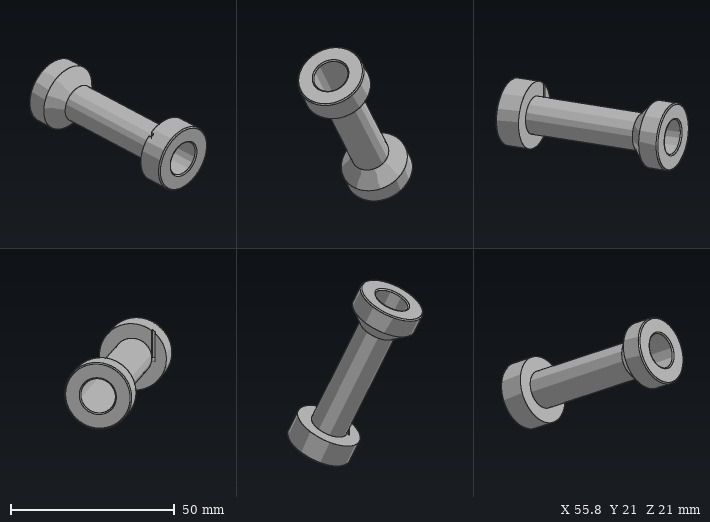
import cadquery as cq

total_length = 55.8
head_diameter = 21.0
shank_diameter = 11.8
bore_diameter = 10.8
rim_chamfer = 0.4
bore_chamfer = 0.4
cone_head_rim_length = 6.4
plain_head_length = 8.0

groove_width = 1.0
groove_depth = 1.0
groove_end_z = -1.0

head_radius = head_diameter / 2
shank_radius = shank_diameter / 2
bore_radius = bore_diameter / 2
cone_length = head_radius - shank_radius
cone_end_x = cone_head_rim_length + cone_length
plain_head_x = total_length - plain_head_length


def turned_body():
    """Hollow spool: coned head, shank and plain head, chamfered at both ends."""
    profile = [
        (0, bore_radius + bore_chamfer),
        (0, head_radius - rim_chamfer),
        (rim_chamfer, head_radius),
        (cone_head_rim_length, head_radius),
        (cone_end_x, shank_radius),
        (plain_head_x, shank_radius),
        (plain_head_x, head_radius),
        (total_length - rim_chamfer, head_radius),
        (total_length, head_radius - rim_chamfer),
        (total_length, bore_radius + bore_chamfer),
        (total_length - bore_chamfer, bore_radius),
        (bore_chamfer, bore_radius),
    ]
    return cq.Workplane("XY").polyline(profile).close().revolve(360, (0, 0, 0), (1, 0, 0))


def tangential_groove():
    """Straight groove beside the shank, open at the rim, its floor rounding up into the head face."""
    floor_x = plain_head_x + groove_depth
    return (
        cq.Workplane("XZ", origin=(0, -shank_radius, 0))
        .moveTo(plain_head_x, groove_end_z)
        .radiusArc((floor_x, groove_end_z + groove_depth), groove_depth)
        .lineTo(floor_x, head_radius)
        .lineTo(plain_head_x, head_radius)
        .close()
        .extrude(groove_width)
    )


result = turned_body().cut(tangential_groove())